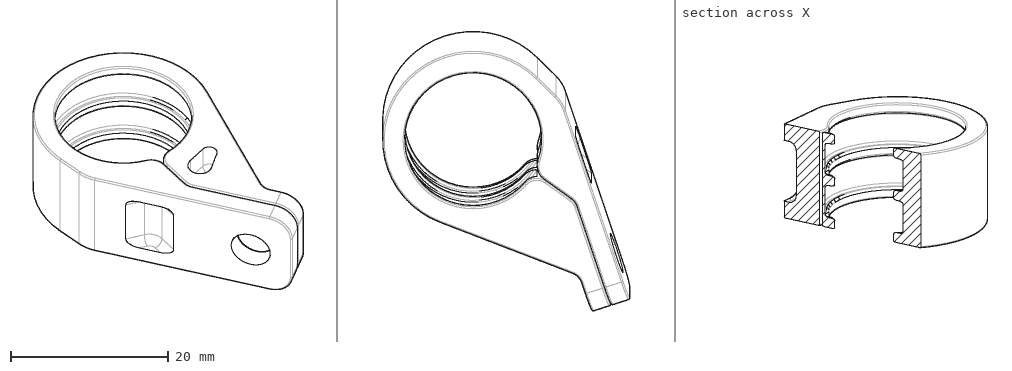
import cadquery as cq
import math


height = 12.7
ring_radius = 11.5
overall_length = 37.89
overall_width = 23.82
arm_end_x = overall_length - ring_radius
arm_thickness = 5.04
arm_bottom_y = -(overall_width - ring_radius)
arm_top_y = arm_bottom_y + arm_thickness
half_height = height / 2

web_angle = 50.3
web_fillet = 2.0
heel_angle = 26.6
heel_fillet = 5.0
ear_corner_radius = 3.0
edge_fillet = 0.2

bore_radius = 8.7
groove_radius = 9.55
groove_fillet = 0.3
land_width = 1.4
groove_count = 2
groove_width = (height - (groove_count + 1) * land_width) / groove_count

slot_gap = 0.1
slot_y = (arm_top_y + arm_bottom_y) / 2
slot_angle = 35.5
slot_bend_x = 11.7
slot_bend_fillet = 2.0
slot_mouth_fillet = 2.0
slot_mouth_direction = -43

screw_hole_radius = 2.6
screw_hole_x = 20.9

pocket_x = 7.43
pocket_width = 6.38
pocket_length = 8.1
pocket_wall_angle = 36.0
pocket_tip_fillet = 2.0
pocket_end_fillet = 1.05

teardrop_large_center = (12.08, -5.88)
teardrop_large_radius = 1.52
teardrop_small_center = (12.47, -3.25)
teardrop_small_radius = 1.0
teardrop_depth = 4.0
teardrop_floor_fillet = 0.98


def polar(radius, degrees):
    """Point at a distance and direction from the Z axis."""
    angle = math.radians(degrees)
    return (radius * math.cos(angle), radius * math.sin(angle))


def tangent_meets_y(contact_degrees, y):
    """Point at height y on the tangent to the ring at the given direction."""
    angle = math.radians(contact_degrees)
    return ((ring_radius - y * math.sin(angle)) / math.cos(angle), y)


def prism(sketch):
    """Extrude an XY outline over the full height, centred on Z = 0."""
    return sketch.extrude(half_height, both=True)


def vertical_edges_at(body, point):
    """The edges parallel to Z that pass through the given XY point."""
    reach = 0.01
    x, y = point
    corner = (x - reach, y - reach, -height)
    opposite = (x + reach, y + reach, height)
    return body.edges("|Z").edges(cq.selectors.BoxSelector(corner, opposite))


def make_body():
    """Solid ring and arm, without bore, slot or pockets."""
    web_contact = 90 - web_angle
    heel_contact = 270 - heel_angle
    web_corner = tangent_meets_y(web_contact, arm_top_y)
    heel_corner = tangent_meets_y(heel_contact, arm_bottom_y)
    outline = (
        cq.Workplane("XY")
        .moveTo(*polar(ring_radius, web_contact))
        .threePointArc((-ring_radius, 0), polar(ring_radius, heel_contact))
        .lineTo(*heel_corner)
        .lineTo(arm_end_x, arm_bottom_y)
        .lineTo(arm_end_x, arm_top_y)
        .lineTo(*web_corner)
        .close()
    )
    body = prism(outline)
    body = vertical_edges_at(body, web_corner).fillet(web_fillet)
    body = vertical_edges_at(body, heel_corner).fillet(heel_fillet)
    return body.edges("|Y and >X").fillet(ear_corner_radius)


def make_slot():
    """Thin cutter that runs along the arm and then bends up into the bore."""
    half_gap = slot_gap / 2
    slope = math.radians(slot_angle)
    miter = half_gap * math.tan(slope / 2)
    inner_x = bore_radius / 2
    inner_y = slot_y + (slot_bend_x - inner_x) * math.tan(slope)
    rise = half_gap / math.cos(slope)
    upper_bend = (slot_bend_x + miter, slot_y + half_gap)
    lower_bend = (slot_bend_x - miter, slot_y - half_gap)
    outer_x = arm_end_x + 1
    outline = cq.Workplane("XY").polyline([
        (inner_x, inner_y + rise),
        upper_bend,
        (outer_x, slot_y + half_gap),
        (outer_x, slot_y - half_gap),
        lower_bend,
        (inner_x, inner_y - rise),
    ]).close()
    slot = prism(outline)
    slot = vertical_edges_at(slot, upper_bend).fillet(slot_bend_fillet)
    return vertical_edges_at(slot, lower_bend).fillet(slot_bend_fillet + slot_gap)


def cut_bore_and_slot(body):
    """Bore the ring, split the arm and round the slot mouth."""
    body = body.cut(prism(cq.Workplane("XY").circle(bore_radius)))
    body = body.cut(make_slot())
    mouth_x, mouth_y = polar(bore_radius, slot_mouth_direction)
    margin = 0.6
    mouth = cq.selectors.BoxSelector(
        (mouth_x - margin, mouth_y - margin, -height),
        (mouth_x + margin, mouth_y + margin, height),
    )
    return body.edges("|Z").edges(mouth).fillet(slot_mouth_fillet)


def round_outer_edges(body):
    """Round the rims of both flat faces and the outlines of both ears."""
    flat_rims = body.faces("<Z or >Z").edges("not |Y")
    ear_rims = body.faces(">X").edges("|Z")
    ear_ends = cq.selectors.BoxSelector(
        (arm_end_x - ear_corner_radius, arm_bottom_y - arm_thickness, -height),
        (arm_end_x, arm_top_y + arm_thickness, height),
    )
    ear_corners = body.edges("%CIRCLE").edges(ear_ends)
    return flat_rims.add(ear_rims).add(ear_corners).fillet(edge_fillet)


def make_groove(floor_z):
    """Groove cutter with rounded floor corners and rounded rims toward the bore."""
    groove = (
        cq.Workplane("XY", origin=(0, 0, floor_z))
        .circle(groove_radius)
        .extrude(groove_width)
        .edges()
        .fillet(groove_fillet)
    )
    flare_radius = bore_radius + groove_fillet
    ceiling_z = floor_z + groove_width
    low = floor_z - groove_fillet
    high = ceiling_z + groove_fillet
    bend = groove_fillet * math.sqrt(0.5)
    rims = (
        cq.Workplane("XZ")
        .moveTo(0, low)
        .lineTo(bore_radius, low)
        .threePointArc((flare_radius - bend, low + bend), (flare_radius, floor_z))
        .lineTo(flare_radius, ceiling_z)
        .threePointArc((flare_radius - bend, high - bend), (bore_radius, high))
        .lineTo(0, high)
        .close()
        .revolve(360, (0, 0, 0), (0, 1, 0))
    )
    return groove.union(rims)


def cut_grooves(body):
    """Turn the evenly spaced internal grooves."""
    pitch = land_width + groove_width
    for index in range(groove_count):
        body = body.cut(make_groove(-half_height + land_width + index * pitch))
    return body


def cut_screw_hole(body):
    """Drill the clamping screw hole through both ears along Y."""
    drill = (
        cq.Workplane("XZ")
        .center(screw_hole_x, 0)
        .circle(screw_hole_radius)
        .extrude(overall_width, both=True)
    )
    return body.cut(drill)


def cut_underside_pocket(body):
    """V-shaped pocket with a rounded tip and rounded ends."""
    slope = math.tan(math.radians(pocket_wall_angle))
    overshoot = 2.0
    half_width = pocket_width / 2
    tip = (pocket_x, arm_bottom_y + half_width * slope)
    open_half_width = half_width + overshoot / slope
    open_y = arm_bottom_y - overshoot
    pocket = (
        cq.Workplane("XY")
        .moveTo(pocket_x - open_half_width, open_y)
        .lineTo(*tip)
        .lineTo(pocket_x + open_half_width, open_y)
        .close()
        .extrude(pocket_length / 2, both=True)
    )
    pocket = vertical_edges_at(pocket, tip).fillet(pocket_tip_fillet)
    pocket = pocket.faces("<Z or >Z").edges("not <Y").fillet(pocket_end_fillet)
    return body.cut(pocket)


def cut_teardrop_pocket(body):
    """Blind teardrop pocket in the top face with a rounded floor."""
    large_x, large_y = teardrop_large_center
    small_x, small_y = teardrop_small_center
    axis = math.degrees(math.atan2(small_y - large_y, small_x - large_x))
    distance = math.hypot(small_x - large_x, small_y - large_y)
    spread = math.degrees(math.acos((teardrop_large_radius - teardrop_small_radius) / distance))

    def around(center, radius, degrees):
        dx, dy = polar(radius, degrees)
        return (center[0] + dx, center[1] + dy)

    pocket = (
        cq.Workplane("XY", origin=(0, 0, half_height - teardrop_depth))
        .moveTo(*around(teardrop_small_center, teardrop_small_radius, axis - spread))
        .threePointArc(
            around(teardrop_small_center, teardrop_small_radius, axis),
            around(teardrop_small_center, teardrop_small_radius, axis + spread),
        )
        .lineTo(*around(teardrop_large_center, teardrop_large_radius, axis + spread))
        .threePointArc(
            around(teardrop_large_center, teardrop_large_radius, axis + 180),
            around(teardrop_large_center, teardrop_large_radius, axis - spread),
        )
        .close()
        .extrude(teardrop_depth)
        .faces("<Z")
        .edges()
        .fillet(teardrop_floor_fillet)
    )
    return body.cut(pocket)


result = make_body()
result = cut_bore_and_slot(result)
result = round_outer_edges(result)
result = cut_grooves(result)
result = cut_screw_hole(result)
result = cut_underside_pocket(result)
result = cut_teardrop_pocket(result)